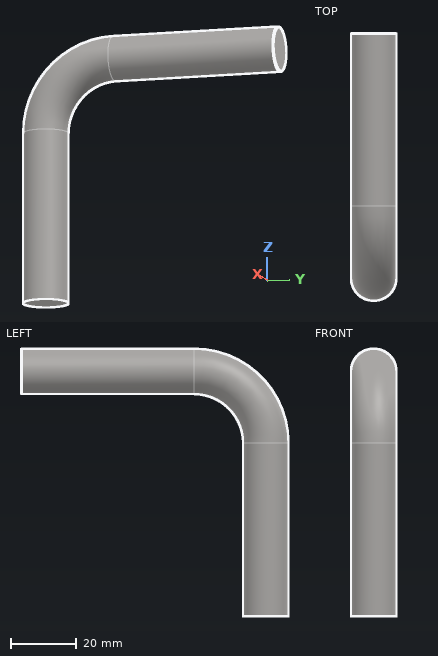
import cadquery as cq

rod_diameter = 14.0
leg_length = 53.0
bend_radius = 22.0
bend_angle = 90.0
end_chamfer = 0.3


def vertical_leg():
    """Straight leg rising along Z up to the start of the bend."""
    return cq.Workplane("XY").circle(rod_diameter / 2).extrude(leg_length)


def bend():
    """Quarter torus turning the rod from +Z to +Y."""
    axis_start = (0, bend_radius)
    axis_end = (-1, bend_radius)
    return (
        cq.Workplane("XY", origin=(0, 0, leg_length))
        .circle(rod_diameter / 2)
        .revolve(bend_angle, axis_start, axis_end)
    )


def horizontal_leg():
    """Straight leg running along +Y from the end of the bend, chamfered at its free end."""
    leg_start = (0, bend_radius, leg_length + bend_radius)
    return (
        cq.Workplane("XZ", origin=leg_start)
        .circle(rod_diameter / 2)
        .extrude(-leg_length)
        .faces(">Y")
        .chamfer(end_chamfer)
    )


result = vertical_leg().union(bend()).union(horizontal_leg())